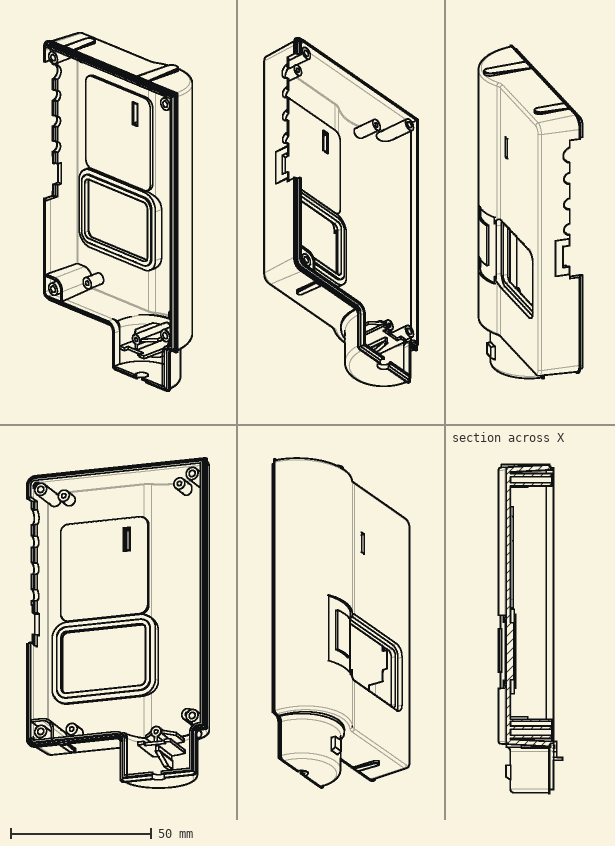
import math

import cadquery as cq


WIDTH = 68.5
HEIGHT = 117.25
BODY_BOTTOM = 16.5
LEFT_CORNER_R = 3.5
BODY_CORNER_R = 4.25
RIGHT_CORNER_R = 0.8
NECK_HALF_WIDTH = 14.5
NECK_CORNER_R = 1.3
NECK_BLEND_R = 1.3

AXIS_X = 50.0
DOME_R = 18.1
BACK_Y = 15.3
BACK_BLEND_R = 4.0
WALL = 1.6
FLOOR_Y = BACK_Y - WALL
OUTER_DRAFT = 3.0
INNER_DRAFT = 3.0
BODY_INSET = 0.25
BACK_EDGE_R = 1.0
ABOVE_DOME = DOME_R + 2.0

LIP_TOP = 0.1
LIP_BOTTOM = -0.2
STEP_INSET = 0.7
STEP_BOTTOM = -0.5
TONGUE_INSET = 1.35
TONGUE_BOTTOM = -1.6
CAVITY_INSET = 2.15
CAVITY_RIM_Y = 1.0
CAVITY_EDGE_R = 0.3

NECK_R = 13.9
NECK_INNER_R = 12.3
NECK_BASE_Z = 0.2
NECK_OVERLAP = 1.2
NECK_FLOOR_Z = CAVITY_INSET
NECK_FOOT_R = 1.5
NECK_FLARE_R = 1.4
NECK_INNER_FLARE_R = 2.5
NECK_MOUTH_Z = 19.1
CABLE_R = 2.3
CABLE_NOTCH_DEPTH = NECK_FLOOR_Z + 1.0

WINDOW_CENTER = (24.6, 50.6)
WINDOW_SIZE = (32.0, 22.9)
WINDOW_R = 2.0
SEAT_MARGIN = 1.7
FRAME_MARGIN = 3.6
FRAME_Y = FLOOR_Y - 1.25
SEAT_FRAME_Y = FRAME_Y - 0.6
SEAT_Y = SEAT_FRAME_Y + 1.75
LABEL_DEPTH = 0.7
LABEL_X = (42.2, 57.8)
LABEL_Z = (37.4, 63.4)
PAD_X = (46.0, 54.0)
PAD_Z = (43.2, 58.7)
PLATE_X = (8.1, 41.1)
PLATE_Z = (66.1, 102.1)
PLATE_R = 3.0
PLATE_Y = FLOOR_Y - 0.9
SLOT_CENTER = (33.15, 94.25)
SLOT_SIZE = (2.6, 8.6)
SLOT_STEP = 0.4

CORNER_POSTS = [(5.65, 111.7), (63.1, 111.7), (5.65, 21.8), (63.1, 21.8)]
CORNER_POST_R = 2.25
CORNER_HOLE_R = 1.15
CORNER_POST_END = -1.0
BOARD_POSTS = [(11.2, 111.2), (55.1, 111.2), (14.2, 24.2), (58.1, 25.2)]
BOARD_POST_R = 2.1
BOARD_HOLE_R = 0.8
BOARD_POST_END = 7.6
BOARD_HOLE_DEPTH = 4.0

SHIELD_RIGHT = 10.4
SHIELD_TOP = 26.5
SHIELD_R = 4.0
SHIELD_WALL = 0.8
SHIELD_END = -1.0

PORT_Z = (55.1, 109.1)
PORT_EDGE_Y = 3.6
PORT_STEP_X = 1.3
PORT_STEP_Y = 4.4
JACK_HOLES = [(103.3, 3.0, 3.05), (94.2, 3.6, 2.2), (84.2, 3.6, 2.2), (74.3, 3.6, 2.2)]
SOCKET_Z = (59.6, 67.8)
SOCKET_Y = 6.1
PLUG_RECESS_Z = (56.7, 70.6)
PLUG_RECESS_Y = 9.0
PLUG_RECESS_X = 0.75
OUTSIDE_X = -1.0
LEFT_CUT_X = 5.0

RIB_FACE_Z = HEIGHT - 0.05
RIB_ROOT = 1.8
RIB_EDGE = 0.2
TOP_RIBS = [(12.3, 2.6, 2.2, 12.5), (50.1, 3.1, 2.4, 17.1)]
FOOT_RIB = (14.0, 1.5, 1.2, 10.0)
FOOT_RIB_Z = BODY_BOTTOM - 0.3
NUB_HALF_WIDTH = 2.0
NUB_Y = 15.4
NUB_Z = (5.9, 10.1)
NUB_SLOPE = 1.0

HOLDER_POST_Z = 16.7
HOLDER_POST_R = 1.9
HOLDER_HOLE_R = 0.7
HOLDER_POST_END = -2.7
HOLDER_HOLE_DEPTH = 6.0
WEB = 1.1
FOOT_WIDTH = 1.7
WING_HALF_WIDTH = 5.7
WING_SHOULDER_Y = 2.5
WING_TIP_Y = -2.0
CLAMP_Z = 12.35
CLAMP_HALF_WIDTH = 6.15
CLAMP_GAP_HALF_WIDTH = 3.85
CLAMP_GAP_Y = -3.0
CLAMP_END = -4.8
SPINE_STEP_Z = 10.0
SPINE_FOOT_Z = 6.8
SPINE_Y = -1.2
SPINE_FOOT_Y = 8.0
HOLDER_ROOT_Y = NECK_INNER_R + 0.6
HOLDER_ROOT_R = (NECK_INNER_R + NECK_R) / 2


def front_plane(y=0.0):
    """Workplane in X-Z at the given y; a negative extrusion runs toward +Y."""
    return cq.Workplane("XZ", origin=(0, y, 0))


def block(x_range, y_range, z_range):
    """Axis-aligned box between the given limits."""
    sizes = [high - low for low, high in (x_range, y_range, z_range)]
    corner = cq.Vector(x_range[0], y_range[0], z_range[0])
    return cq.Workplane(cq.Solid.makeBox(*sizes, corner))


def rounded_block(center, size, radius, y_range):
    """Rectangle in X-Z with rounded corners, extruded along Y."""
    solid = front_plane(y_range[0]).center(*center).rect(*size).extrude(y_range[0] - y_range[1])
    return solid.edges("|Y").fillet(radius)


def cylinder(x, z, radius, y_range):
    """Round bar along Y."""
    return front_plane(y_range[0]).center(x, z).circle(radius).extrude(y_range[0] - y_range[1])


def rim_layer(inset, y_low, y_high):
    """Slice of the whole outline, body and neck together, moved inward by inset."""
    left = AXIS_X - NECK_HALF_WIDTH
    right = AXIS_X + NECK_HALF_WIDTH
    path = (
        front_plane(y_low)
        .moveTo(LEFT_CORNER_R, HEIGHT)
        .lineTo(WIDTH - RIGHT_CORNER_R, HEIGHT)
        .radiusArc((WIDTH, HEIGHT - RIGHT_CORNER_R), RIGHT_CORNER_R)
        .lineTo(WIDTH, BODY_BOTTOM + RIGHT_CORNER_R)
        .radiusArc((WIDTH - RIGHT_CORNER_R, BODY_BOTTOM), RIGHT_CORNER_R)
        .lineTo(right + NECK_BLEND_R, BODY_BOTTOM)
        .radiusArc((right, BODY_BOTTOM - NECK_BLEND_R), -NECK_BLEND_R)
        .lineTo(right, NECK_CORNER_R)
        .radiusArc((right - NECK_CORNER_R, 0), NECK_CORNER_R)
        .lineTo(left + NECK_CORNER_R, 0)
        .radiusArc((left, NECK_CORNER_R), NECK_CORNER_R)
        .lineTo(left, BODY_BOTTOM - NECK_BLEND_R)
        .radiusArc((left - NECK_BLEND_R, BODY_BOTTOM), -NECK_BLEND_R)
        .lineTo(LEFT_CORNER_R, BODY_BOTTOM)
        .radiusArc((0, BODY_BOTTOM + LEFT_CORNER_R), LEFT_CORNER_R)
        .lineTo(0, HEIGHT - LEFT_CORNER_R)
        .radiusArc((LEFT_CORNER_R, HEIGHT), LEFT_CORNER_R)
        .close()
    )
    if inset:
        path = path.offset2D(-inset)
    return path.extrude(y_low - y_high)


def back_profile(offset):
    """X-Y section under the back surface moved inward by offset, extruded over the full height."""
    radius = DOME_R - offset
    flat_y = BACK_Y - offset
    blend_r = BACK_BLEND_R + offset
    blend_dx = math.sqrt((radius + blend_r) ** 2 - (flat_y + blend_r) ** 2)
    share = radius / (radius + blend_r)
    blend_end = (AXIS_X - blend_dx * share, (flat_y + blend_r) * share)
    return (
        cq.Workplane("XY")
        .moveTo(0, TONGUE_BOTTOM)
        .lineTo(0, flat_y)
        .lineTo(AXIS_X - blend_dx, flat_y)
        .radiusArc(blend_end, -blend_r)
        .threePointArc((AXIS_X, radius), (AXIS_X + radius, 0))
        .lineTo(AXIS_X + radius, TONGUE_BOTTOM)
        .close()
        .extrude(HEIGHT)
    )


def drafted_body(inset, draft, y_low):
    """Body outline narrowing toward the back; all sides but the right are moved inward by inset."""
    left, right = inset, WIDTH
    bottom, top = BODY_BOTTOM + inset, HEIGHT - inset
    radius = BODY_CORNER_R - inset
    return (
        front_plane(y_low)
        .moveTo(right, top)
        .lineTo(right, bottom)
        .lineTo(left + radius, bottom)
        .radiusArc((left, bottom + radius), radius)
        .lineTo(left, top - radius)
        .radiusArc((left + radius, top), radius)
        .close()
        .extrude(y_low - ABOVE_DOME, taper=draft)
    )


def neck_solid(radius, base_z, top_z, flare_r, foot_r):
    """Half cylinder along Z on the y > 0 side, rounded at its foot and flared at its top."""
    section = cq.Workplane("XZ", origin=(AXIS_X, 0, 0)).moveTo(0, base_z)
    if foot_r:
        section = section.lineTo(radius - foot_r, base_z).radiusArc((radius, base_z + foot_r), -foot_r)
    else:
        section = section.lineTo(radius, base_z)
    round_solid = (
        section.lineTo(radius, top_z - flare_r)
        .radiusArc((radius + flare_r, top_z), flare_r)
        .lineTo(radius + flare_r, top_z + NECK_OVERLAP)
        .lineTo(0, top_z + NECK_OVERLAP)
        .close()
        .revolve(360, (0, 0, 0), (0, 1, 0))
    )
    return round_solid.intersect(block((0, 2 * WIDTH), (0, ABOVE_DOME), (0, HEIGHT)))


def is_back_rim_edge(edge):
    """True for the edges where the back surface meets the side walls."""
    middle = edge.positionAt(0.5)
    along_z = abs(edge.tangentAt(0.5).z) > 0.9
    return middle.y > BACK_Y / 2 + BACK_EDGE_R and (not along_z or middle.x < BODY_CORNER_R)


def round_back_edges(body, radius):
    """Fillet all around the back surface."""
    back_edges = [edge for edge in body.edges().vals() if is_back_rim_edge(edge)]
    return body.newObject(back_edges).fillet(radius)


def outer_shell():
    """Solid body and neck with the stepped mating rim."""
    body = drafted_body(BODY_INSET, OUTER_DRAFT, 0).intersect(back_profile(0))
    body = round_back_edges(body, BACK_EDGE_R)
    neck = neck_solid(NECK_R, NECK_BASE_Z, BODY_BOTTOM, NECK_FLARE_R, NECK_FOOT_R)
    shell = body.union(neck)
    shell = shell.union(rim_layer(0, LIP_BOTTOM, LIP_TOP))
    body_step = rim_layer(STEP_INSET, STEP_BOTTOM, LIP_TOP).intersect(drafted_body(0, 0, STEP_BOTTOM))
    shell = shell.union(body_step)
    return shell.union(rim_layer(TONGUE_INSET, TONGUE_BOTTOM, LIP_TOP))


def cavity():
    """Space inside the shell."""
    body = drafted_body(CAVITY_INSET, INNER_DRAFT, CAVITY_RIM_Y).intersect(back_profile(WALL))
    body = round_back_edges(body, CAVITY_EDGE_R)
    neck = neck_solid(NECK_INNER_R, NECK_FLOOR_Z, NECK_MOUTH_Z, NECK_INNER_FLARE_R, 0)
    return body.union(neck).union(rim_layer(CAVITY_INSET, TONGUE_BOTTOM, CAVITY_RIM_Y))


def outer_rib(x, half_width, tip_half_width, height, face_z, root_z):
    """Tapered rib with a round end, standing on the top or bottom wall."""
    tip_y = height - tip_half_width
    flat = (
        cq.Workplane("XY", origin=(x, 0, min(face_z, root_z)))
        .moveTo(-half_width, LIP_TOP)
        .lineTo(-tip_half_width, tip_y)
        .threePointArc((0, height), (tip_half_width, tip_y))
        .lineTo(half_width, LIP_TOP)
        .close()
    )
    outer_face = ">Z" if face_z > root_z else "<Z"
    return flat.extrude(abs(face_z - root_z)).faces(outer_face).chamfer(RIB_EDGE)


def outer_ribs():
    """Ribs on the top wall and the small one on the bottom wall."""
    ribs = outer_rib(*FOOT_RIB, FOOT_RIB_Z, BODY_BOTTOM + RIB_ROOT)
    for rib in TOP_RIBS:
        ribs = ribs.union(outer_rib(*rib, RIB_FACE_Z, HEIGHT - RIB_ROOT))
    return ribs


def neck_nub():
    """Small boss on the back of the neck with a sloped lower end."""
    low, high = NUB_Z
    return (
        cq.Workplane("YZ", origin=(AXIS_X - NUB_HALF_WIDTH, 0, 0))
        .moveTo(NECK_INNER_R, low - NUB_SLOPE)
        .lineTo(NECK_R, low - NUB_SLOPE)
        .lineTo(NUB_Y, low)
        .lineTo(NUB_Y, high)
        .lineTo(NECK_INNER_R, high)
        .close()
        .extrude(2 * NUB_HALF_WIDTH)
    )


def margin_block(margin, y_range):
    """Window outline grown by margin, extruded along Y."""
    size = [side + 2 * margin for side in WINDOW_SIZE]
    return rounded_block(WINDOW_CENTER, size, WINDOW_R + margin, y_range)


def label_recess():
    """Shallow recess across the dome beside the window, with a pad left standing on the dome."""
    area = block(LABEL_X, (0, ABOVE_DOME), LABEL_Z).cut(back_profile(LABEL_DEPTH))
    return area.cut(block(PAD_X, (0, ABOVE_DOME), PAD_Z))


def floor_plate():
    """Round-cornered thickening of the floor above the window."""
    center = (sum(PLATE_X) / 2, sum(PLATE_Z) / 2)
    size = (PLATE_X[1] - PLATE_X[0], PLATE_Z[1] - PLATE_Z[0])
    return rounded_block(center, size, PLATE_R, (PLATE_Y, BACK_Y))


def floor_slot():
    """Slot through the floor plate, narrower on the outside."""
    mouth = front_plane().center(*SLOT_CENTER)
    wide = mouth.rect(*SLOT_SIZE).extrude(-(PLATE_Y + SLOT_STEP))
    narrow = mouth.rect(*[side - 2 * SLOT_STEP for side in SLOT_SIZE]).extrude(-ABOVE_DOME)
    return wide.union(narrow)


def bars(places, radius, y_range):
    """Equal round bars along Y at the given places."""
    return union_all([cylinder(x, z, radius, y_range) for x, z in places])


def union_all(parts):
    """All the given parts joined together."""
    joined = parts[0]
    for part in parts[1:]:
        joined = joined.union(part)
    return joined


def shield_block(inset):
    """Block over the lower left corner with one round corner, moved inward by inset."""
    solid = block((0, SHIELD_RIGHT - inset), (SHIELD_END, ABOVE_DOME), (BODY_BOTTOM, SHIELD_TOP - inset))
    return solid.edges("|Y and >X and >Z").fillet(SHIELD_R - inset)


def corner_shield():
    """Thin wall around the lower left post."""
    return shield_block(0).cut(shield_block(SHIELD_WALL))


def left_wall_openings():
    """Open notch in the left wall with jack holes, a socket and a plug recess at its edge."""
    across = (OUTSIDE_X, LEFT_CUT_X)
    cut = block(across, (TONGUE_BOTTOM, PORT_EDGE_Y), PORT_Z)
    cut = cut.union(block((PORT_STEP_X, LEFT_CUT_X), (0, PORT_STEP_Y), PORT_Z))
    cut = cut.union(block(across, (0, SOCKET_Y), SOCKET_Z))
    cut = cut.union(block((OUTSIDE_X, PLUG_RECESS_X), (0, PLUG_RECESS_Y), PLUG_RECESS_Z))
    for z, y, radius in JACK_HOLES:
        jack = cq.Workplane("YZ").center(y, z).circle(radius).extrude(LEFT_CUT_X)
        cut = cut.union(jack)
    return cut


def cable_notch():
    """Round notch in the end wall of the neck."""
    return cq.Workplane("XY").center(AXIS_X, 0).circle(CABLE_R).extrude(CABLE_NOTCH_DEPTH)


def holder_wings():
    """Web across the holder post, sloping down on both sides of it."""
    return (
        cq.Workplane("XY", origin=(AXIS_X, 0, HOLDER_POST_Z - WEB / 2))
        .moveTo(-WING_HALF_WIDTH, HOLDER_ROOT_Y)
        .lineTo(-WING_HALF_WIDTH, WING_SHOULDER_Y)
        .lineTo(-HOLDER_POST_R, WING_TIP_Y)
        .lineTo(HOLDER_POST_R, WING_TIP_Y)
        .lineTo(WING_HALF_WIDTH, WING_SHOULDER_Y)
        .lineTo(WING_HALF_WIDTH, HOLDER_ROOT_Y)
        .close()
        .extrude(WEB)
    )


def holder_clamp():
    """Cross plate with two prongs beyond the open face."""
    z_range = (CLAMP_Z - WEB / 2, CLAMP_Z + WEB / 2)
    x_range = (AXIS_X - CLAMP_HALF_WIDTH, AXIS_X + CLAMP_HALF_WIDTH)
    gap = (AXIS_X - CLAMP_GAP_HALF_WIDTH, AXIS_X + CLAMP_GAP_HALF_WIDTH)
    plate = block(x_range, (CLAMP_END, HOLDER_ROOT_Y), z_range)
    return plate.cut(block(gap, (CLAMP_END, CLAMP_GAP_Y), z_range))


def holder_spine():
    """Web along the neck axis from the post, past the clamp."""
    return (
        cq.Workplane("YZ", origin=(AXIS_X - WEB / 2, 0, 0))
        .moveTo(HOLDER_POST_END, HOLDER_POST_Z)
        .lineTo(HOLDER_POST_END, CLAMP_Z)
        .lineTo(SPINE_Y, CLAMP_Z)
        .lineTo(SPINE_Y, SPINE_STEP_Z)
        .lineTo(HOLDER_ROOT_Y, SPINE_STEP_Z)
        .lineTo(HOLDER_ROOT_Y, HOLDER_POST_Z)
        .close()
        .extrude(WEB)
    )


def holder_foot():
    """Wider web at the lower end of the spine, sloping to the back."""
    return (
        cq.Workplane("YZ", origin=(AXIS_X - FOOT_WIDTH / 2, 0, 0))
        .moveTo(SPINE_Y, SPINE_STEP_Z)
        .lineTo(SPINE_FOOT_Y, SPINE_FOOT_Z)
        .lineTo(HOLDER_ROOT_Y, SPINE_FOOT_Z)
        .lineTo(HOLDER_ROOT_Y, SPINE_STEP_Z)
        .close()
        .extrude(FOOT_WIDTH)
    )


def cable_holder():
    """Post, wings, clamp plate and spine, rooted halfway into the round wall of the neck."""
    post = cylinder(AXIS_X, HOLDER_POST_Z, HOLDER_POST_R, (HOLDER_POST_END, HOLDER_ROOT_Y))
    holder = union_all([post, holder_wings(), holder_clamp(), holder_spine(), holder_foot()])
    root_limit = cq.Workplane("XY").center(AXIS_X, 0).circle(HOLDER_ROOT_R).extrude(HEIGHT)
    holder = holder.intersect(root_limit)
    hole_range = (HOLDER_POST_END, HOLDER_POST_END + HOLDER_HOLE_DEPTH)
    return holder.cut(cylinder(AXIS_X, HOLDER_POST_Z, HOLDER_HOLE_R, hole_range))


def inner_features(envelope):
    """Posts, frame and shield, trimmed to the solid outer form."""
    corner_posts = bars(CORNER_POSTS, CORNER_POST_R, (CORNER_POST_END, ABOVE_DOME))
    board_posts = bars(BOARD_POSTS, BOARD_POST_R, (BOARD_POST_END, ABOVE_DOME))
    frame = margin_block(FRAME_MARGIN, (FRAME_Y, ABOVE_DOME))
    seat = margin_block(SEAT_MARGIN, (SEAT_FRAME_Y, ABOVE_DOME))
    parts = [corner_posts, board_posts, frame, seat, floor_plate(), corner_shield()]
    return union_all(parts).intersect(envelope)


envelope = outer_shell().union(outer_ribs()).union(neck_nub())
case = envelope.cut(cavity()).union(inner_features(envelope))
corner_holes = bars(CORNER_POSTS, CORNER_HOLE_R, (CORNER_POST_END, ABOVE_DOME))
board_holes = bars(BOARD_POSTS, BOARD_HOLE_R, (BOARD_POST_END, BOARD_POST_END + BOARD_HOLE_DEPTH))
case = case.cut(corner_holes.intersect(back_profile(WALL))).cut(board_holes)
case = case.cut(label_recess()).cut(floor_slot())
case = case.cut(margin_block(SEAT_MARGIN, (SEAT_Y, ABOVE_DOME)))
case = case.cut(margin_block(0, (0, ABOVE_DOME)))
case = case.cut(left_wall_openings()).cut(cable_notch())
result = case.union(cable_holder())